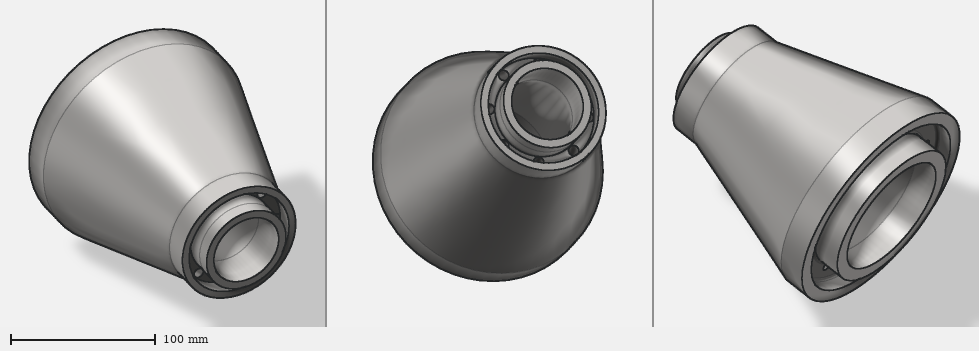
import cadquery as cq
import math

length = 175.0
spigot_projection = 10.2
flange_width = 20.0
neck_width = 18.5
flange_start = spigot_projection
cone_start = flange_start + flange_width
neck_end = length - spigot_projection
cone_end = neck_end - neck_width

flange_diameter = 160.0
large_recess_diameter = 141.0
large_spigot_diameter = 110.0
large_bore_diameter = 90.0
large_bore_depth = 20.1

neck_diameter = 90.0
small_recess_diameter = 79.3
small_spigot_diameter = 63.0
small_bore_diameter = 51.5

recess_depth = 12.5
recess_fillet = 2.0
small_recess_depth = recess_depth

passage_diameter = 7.4
passage_count = 8
passage_start_radius = 58.5
passage_end_radius = (small_recess_diameter + small_spigot_diameter) / 4
passage_overrun = 1.8


def tube(start, end, outer_diameter, inner_diameter):
    """Ring about the X axis between two stations."""
    return (
        cq.Workplane("YZ", origin=(start, 0, 0))
        .circle(outer_diameter / 2)
        .circle(inner_diameter / 2)
        .extrude(end - start)
    )


def make_body():
    """Hollow conical body with a spigot at each end."""
    profile = [
        (0, large_bore_diameter / 2),
        (0, large_spigot_diameter / 2),
        (flange_start, large_spigot_diameter / 2),
        (flange_start, flange_diameter / 2),
        (cone_start, flange_diameter / 2),
        (cone_end, neck_diameter / 2),
        (neck_end, neck_diameter / 2),
        (neck_end, small_spigot_diameter / 2),
        (length, small_spigot_diameter / 2),
        (length, small_bore_diameter / 2),
        (cone_end, small_bore_diameter / 2),
        (large_bore_depth, large_bore_diameter / 2),
    ]
    return cq.Workplane("XY").polyline(profile).close().revolve(360, (0, 0, 0), (1, 0, 0))


def make_large_recess():
    """Annular recess in the flange, rounded where its walls meet the floor."""
    recess_floor = flange_start + recess_depth
    ring = tube(flange_start, recess_floor, large_recess_diameter, large_spigot_diameter)
    return ring.faces(">X").edges().fillet(recess_fillet)


def make_small_recess():
    """Annular recess in the neck, around the small spigot."""
    recess_floor = neck_end - small_recess_depth
    return tube(recess_floor, neck_end, small_recess_diameter, small_spigot_diameter)


def make_passage():
    """Straight passage joining the floors of the two recesses."""
    start_x = flange_start + recess_depth
    run = neck_end - small_recess_depth - start_x
    drop = passage_start_radius - passage_end_radius
    direction = cq.Vector(run, 0, -drop).normalized()
    start = cq.Vector(start_x, 0, passage_start_radius) - direction * passage_overrun
    passage_length = math.hypot(run, drop) + 2 * passage_overrun
    return cq.Workplane(cq.Solid.makeCylinder(passage_diameter / 2, passage_length, start, direction))


result = make_body().cut(make_large_recess()).cut(make_small_recess())
for index in range(passage_count):
    angle = index * 360 / passage_count
    result = result.cut(make_passage().rotate((0, 0, 0), (1, 0, 0), angle))